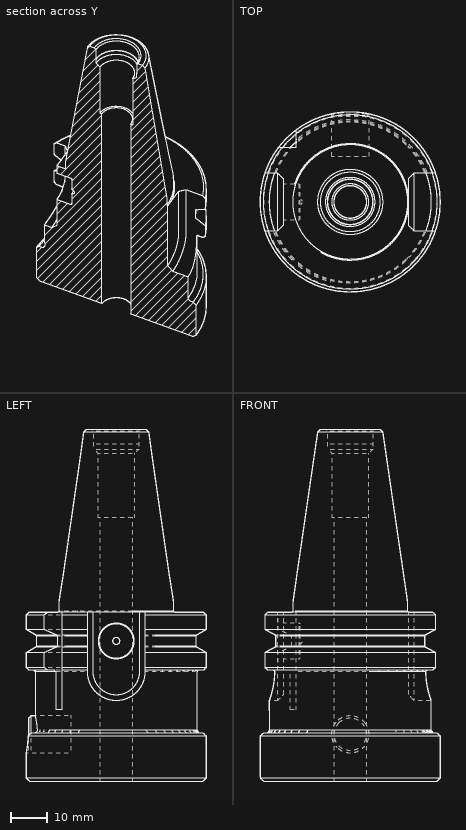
import cadquery as cq
import math

TOTAL_HEIGHT = 97.65
FLANGE_RADIUS = 25.0

COLLAR_TOP = 13.5
COLLAR_TOP_CHAMFER = 0.9
COLLAR_BOTTOM_CHAMFER = 1.0
COLLAR_FILLET = 0.8

NECK_RADIUS = 22.5
NECK_FILLET = 0.4
FLANGE_BOTTOM = 30.9
FLANGE_TOP = 47.0
FLANGE_CHAMFER = 0.8

GROOVE_Z = 39.0
GROOVE_BOTTOM_RADIUS = 22.2
GROOVE_BOTTOM_HALF_WIDTH = 1.6
GROOVE_FLANK_ANGLE = 30.0
GROOVE_FILLET = 0.3

GAUGE_RADIUS = 15.9
GAUGE_Z = 49.9
TAPER_SLOPE = 7 / 48
TAPER_TOP_CHAMFER = 0.7
SHANK_FILLET = 0.3

MOUTH_RADIUS = 6.3
MOUTH_CHAMFER = 0.5
MOUTH_DEPTH = 4.1
RELIEF_RADIUS = 6.25
RELIEF_DEPTH = 5.6
CONE_DROP = 1.1
THREAD_RADIUS = 5.1
THREAD_DEPTH = 24.4
COOLANT_RADIUS = 4.5

SLOT_RADIUS = 8.0
SLOT_ARC_Z = 30.5
SLOT_FLOOR_CHAMFER = 1.6
SHALLOW_FLOOR = 18.6
DEEP_FLOOR = 16.1

CHIP_RADIUS = 5.0
CHIP_DEPTH = 4.6
CHIP_FLOOR_CHAMFER = 0.2
DIMPLE_RADIUS = 1.0
DIMPLE_DEPTH = 1.0

NOTCH_OFFSET = 15.0
NOTCH_BOTTOM = 20.0

SCREW_RADIUS = 5.2
SCREW_Z = 13.1
SCREW_FACE = 24.3
SCREW_LENGTH = 11.7
SCREW_CHAMFER = 0.7

CLEARANCE = 4.9


def rings(solid, radius, *heights):
    """The circular edges of one radius at the given heights."""
    return solid.edges("%CIRCLE").filter(
        lambda edge: abs(edge.radius() - radius) < 0.01
        and any(abs(edge.arcCenter().z - z) < 0.01 for z in heights)
    )


def revolve_about_z(points):
    return cq.Workplane("XZ").polyline(points).close().revolve(360, (0, 0, 0), (0, 1, 0))


def make_blank():
    """Collar, neck, grooved flange and taper as one turned solid."""
    flank_rise = (FLANGE_RADIUS - GROOVE_BOTTOM_RADIUS) * math.tan(math.radians(GROOVE_FLANK_ANGLE))
    groove_mouth = GROOVE_BOTTOM_HALF_WIDTH + flank_rise
    groove_low = GROOVE_Z - GROOVE_BOTTOM_HALF_WIDTH
    groove_high = GROOVE_Z + GROOVE_BOTTOM_HALF_WIDTH
    taper_top_radius = GAUGE_RADIUS - TAPER_SLOPE * (TOTAL_HEIGHT - GAUGE_Z)
    blank = revolve_about_z([
        (0, 0),
        (FLANGE_RADIUS, 0),
        (FLANGE_RADIUS, COLLAR_TOP),
        (NECK_RADIUS, COLLAR_TOP),
        (NECK_RADIUS, FLANGE_BOTTOM),
        (FLANGE_RADIUS, FLANGE_BOTTOM),
        (FLANGE_RADIUS, GROOVE_Z - groove_mouth),
        (GROOVE_BOTTOM_RADIUS, groove_low),
        (GROOVE_BOTTOM_RADIUS, groove_high),
        (FLANGE_RADIUS, GROOVE_Z + groove_mouth),
        (FLANGE_RADIUS, FLANGE_TOP),
        (GAUGE_RADIUS, FLANGE_TOP),
        (GAUGE_RADIUS, GAUGE_Z),
        (taper_top_radius, TOTAL_HEIGHT),
        (0, TOTAL_HEIGHT),
    ])
    blank = rings(blank, FLANGE_RADIUS, 0).chamfer(COLLAR_BOTTOM_CHAMFER)
    blank = rings(blank, FLANGE_RADIUS, COLLAR_TOP).chamfer(COLLAR_TOP_CHAMFER)
    blank = rings(blank, FLANGE_RADIUS, FLANGE_BOTTOM, FLANGE_TOP).chamfer(FLANGE_CHAMFER)
    blank = rings(blank, taper_top_radius, TOTAL_HEIGHT).chamfer(TAPER_TOP_CHAMFER)
    blank = rings(blank, NECK_RADIUS, COLLAR_TOP).fillet(COLLAR_FILLET)
    blank = rings(blank, NECK_RADIUS, FLANGE_BOTTOM).fillet(NECK_FILLET)
    blank = rings(blank, GROOVE_BOTTOM_RADIUS, groove_low, groove_high).fillet(GROOVE_FILLET)
    return rings(blank, GAUGE_RADIUS, FLANGE_TOP).fillet(SHANK_FILLET)


def make_bore():
    """Stepped bore: chamfered mouth, relief, cone, thread core and through hole."""
    relief_bottom = TOTAL_HEIGHT - RELIEF_DEPTH
    thread_bottom = TOTAL_HEIGHT - THREAD_DEPTH
    return revolve_about_z([
        (0, 0),
        (COOLANT_RADIUS, 0),
        (COOLANT_RADIUS, thread_bottom),
        (THREAD_RADIUS, thread_bottom),
        (THREAD_RADIUS, relief_bottom - CONE_DROP),
        (RELIEF_RADIUS, relief_bottom),
        (RELIEF_RADIUS, TOTAL_HEIGHT - MOUTH_DEPTH),
        (MOUTH_RADIUS, TOTAL_HEIGHT - MOUTH_DEPTH),
        (MOUTH_RADIUS, TOTAL_HEIGHT - MOUTH_CHAMFER),
        (MOUTH_RADIUS + MOUTH_CHAMFER, TOTAL_HEIGHT),
        (0, TOTAL_HEIGHT),
    ])


def make_slot(floor_distance, side):
    """U-shaped slot cutter, open at the top; side is +1 for +X and -1 for -X."""
    slot_top = FLANGE_TOP + CLEARANCE
    depth = FLANGE_RADIUS + CLEARANCE - floor_distance
    slot = (
        cq.Workplane("YZ", origin=(floor_distance, 0, 0))
        .moveTo(-SLOT_RADIUS, slot_top)
        .lineTo(-SLOT_RADIUS, SLOT_ARC_Z)
        .threePointArc((0, SLOT_ARC_Z - SLOT_RADIUS), (SLOT_RADIUS, SLOT_ARC_Z))
        .lineTo(SLOT_RADIUS, slot_top)
        .close()
        .extrude(depth)
        .faces("<X").chamfer(SLOT_FLOOR_CHAMFER)
    )
    return slot if side > 0 else slot.mirror("YZ")


def make_chip_pocket():
    """Round blind pocket going +X from the shallow slot floor, with a centre dimple."""
    pocket = (
        cq.Workplane("YZ", origin=(-SHALLOW_FLOOR, 0, GROOVE_Z))
        .circle(CHIP_RADIUS)
        .extrude(CHIP_DEPTH)
        .faces(">X").chamfer(CHIP_FLOOR_CHAMFER)
    )
    dimple = cq.Solid.makeCone(
        DIMPLE_RADIUS, 0, DIMPLE_DEPTH,
        pnt=cq.Vector(CHIP_DEPTH - SHALLOW_FLOOR, 0, GROOVE_Z),
        dir=cq.Vector(1, 0, 0),
    )
    return pocket.union(cq.Workplane(dimple))


def make_notch():
    """Square corner cutter reaching outward past the flange in -X and +Y."""
    reach = FLANGE_RADIUS
    height = FLANGE_TOP + CLEARANCE - NOTCH_BOTTOM
    corner = (-NOTCH_OFFSET - reach, NOTCH_OFFSET, NOTCH_BOTTOM)
    return cq.Workplane("XY", origin=corner).box(reach, reach, height, centered=False)


def screw_cylinder(length):
    """Cylinder along +Y that starts at the inner end of the screw."""
    inner_end = SCREW_FACE - SCREW_LENGTH
    return cq.Workplane("XZ", origin=(0, inner_end, SCREW_Z)).circle(SCREW_RADIUS).extrude(-length)


def make_holder():
    return (
        make_blank()
        .cut(make_bore())
        .cut(make_slot(SHALLOW_FLOOR, -1))
        .cut(make_slot(DEEP_FLOOR, 1))
        .cut(make_chip_pocket())
        .cut(make_notch())
        .cut(screw_cylinder(SCREW_LENGTH + CLEARANCE))
    )


def make_clamping_screw():
    return screw_cylinder(SCREW_LENGTH).faces(">Y").chamfer(SCREW_CHAMFER)


holder = make_holder()
clamping_screw = make_clamping_screw()
result = cq.Compound.makeCompound([holder.val(), clamping_screw.val()])